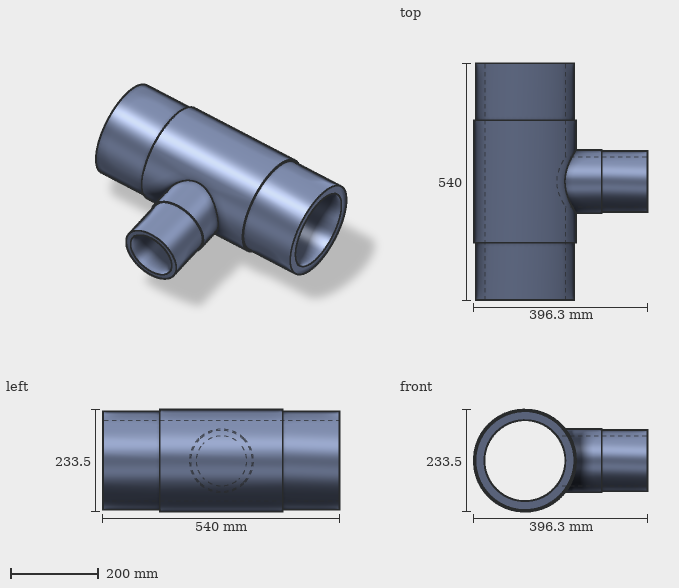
import cadquery as cq

run_length = 540.0
run_diameter = 225.0
run_bore = 184.0
body_length = 279.5
body_diameter = 233.5

branch_reach = 279.5
branch_diameter = 140.0
branch_bore = 114.5
collar_reach = 175.0
collar_diameter = 145.0


def run_cylinder(diameter, length):
    """Cylinder along Y, centred on the origin."""
    return cq.Workplane("XZ").circle(diameter / 2).extrude(length / 2, both=True)


def branch_cylinder(diameter, reach):
    """Cylinder along +X, starting at the run axis."""
    return cq.Workplane("YZ").circle(diameter / 2).extrude(reach)


outside = (
    run_cylinder(run_diameter, run_length)
    .union(run_cylinder(body_diameter, body_length))
    .union(branch_cylinder(collar_diameter, collar_reach))
    .union(branch_cylinder(branch_diameter, branch_reach))
)

result = (
    outside
    .cut(run_cylinder(run_bore, run_length))
    .cut(branch_cylinder(branch_bore, branch_reach))
)